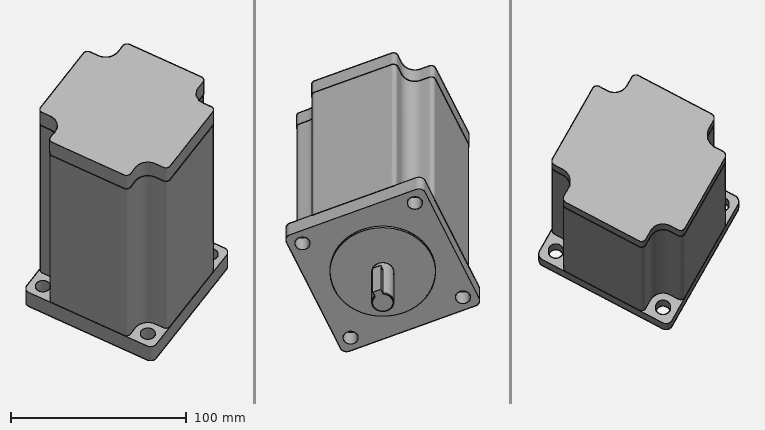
import cadquery as cq

side = 86.0
total_height = 186.0
flange_thickness = 12.3
flange_corner_radius = 3.9
cap_thickness = 11.9
body_inset = 0.2
hole_spacing = 69.5
hole_diameter = 8.5
notch_radius = 8.2
notch_lip_radius = 2.8
pilot_diameter = 60.0
pilot_height = 1.7
shaft_diameter = 12.6
shaft_length = 33.9
shaft_chamfer = 0.5
key_width = 5.0
key_length = 25.1
key_reach = 8.7

top_z = total_height - shaft_length
cap_z = top_z - cap_thickness
hole_offset = hole_spacing / 2


def notched_prism(inset, bottom, top):
    """Square prism with a rounded, lipped notch along each vertical corner.

    The whole outline is offset inward by inset.
    """
    width = side - 2 * inset
    corner_radius = notch_radius + inset
    lip_radius = notch_lip_radius - inset
    arm_width = 2 * (hole_offset - corner_radius)
    base = cq.Workplane("XY").workplane(offset=bottom)
    bar_x = base.rect(width, arm_width).extrude(top - bottom).edges("|Z").fillet(lip_radius)
    bar_y = base.rect(arm_width, width).extrude(top - bottom).edges("|Z").fillet(lip_radius)
    cross = bar_x.union(bar_y)
    inner_corners = cq.selectors.BoxSelector(
        (-hole_offset, -hole_offset, bottom),
        (hole_offset, hole_offset, top),
    )
    return cross.edges("|Z").edges(inner_corners).fillet(corner_radius)


flange = (
    cq.Workplane("XY")
    .box(side, side, flange_thickness, centered=(True, True, False))
    .edges("|Z")
    .fillet(flange_corner_radius)
)
body = notched_prism(body_inset, flange_thickness, cap_z)
cap = notched_prism(0, cap_z, top_z)
mounting_holes = (
    cq.Workplane("XY")
    .rect(hole_spacing, hole_spacing, forConstruction=True)
    .vertices()
    .circle(hole_diameter / 2)
    .extrude(flange_thickness)
)

pilot = cq.Workplane("XY").circle(pilot_diameter / 2).extrude(-pilot_height)
shaft = (
    cq.Workplane("XY")
    .circle(shaft_diameter / 2)
    .extrude(-shaft_length)
    .faces("<Z")
    .chamfer(shaft_chamfer)
)
key = (
    cq.Workplane("XY")
    .workplane(offset=-shaft_length)
    .center(0, key_reach / 2)
    .rect(key_width, key_reach)
    .extrude(key_length)
)

result = flange.cut(mounting_holes).union(body).union(cap).union(pilot).union(shaft).union(key)